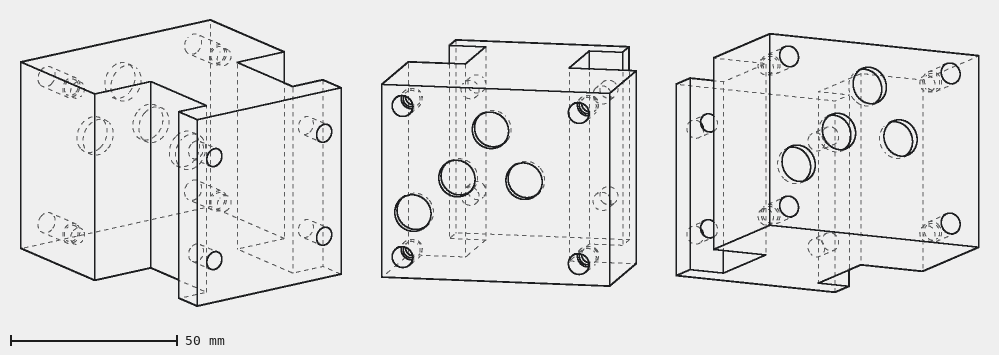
import cadquery as cq
import math

length = 76.2
body_width = 69.9
height = 58.75
body_length = 38.1

flange_thickness = 9.5
flange_start_x = length - flange_thickness
flange_right_y = 10.45
flange_width = 53.1
neck_right_y = 20.65
neck_width = 31.8

port_diameter = 11.1
port_depth = 3.1
drill_point_angle = 118.0

bolt_diameter = 6.3
bolt_depth = 12.7
pilot_diameter = 5.1
pilot_extra_depth = 3.2
bolt_spacing_y = 54.0
bolt_spacing_z = 46.0
bolt_right_y = 9.45
bolt_left_y = bolt_right_y + bolt_spacing_y
bolt_low_z = (height - bolt_spacing_z) / 2
bolt_top_z = bolt_low_z + bolt_spacing_z

port_offsets = {
    "pressure": (27.0, 6.3),
    "work_a": (16.7, 21.4),
    "work_b": (37.25, 21.4),
    "tank": (3.2, 32.45),
}

flange_hole_diameter = 5.6
flange_hole_spacing_y = 40.5
flange_hole_spacing_z = 32.45
flange_center_y = flange_right_y + flange_width / 2


def slab(start_x, end_x, right_y, width):
    """Full-height block between two X positions."""
    block = cq.Workplane("XY").box(end_x - start_x, width, height, centered=False)
    return block.translate((start_x, right_y, 0))


def bore(start_x, y, z, diameter, depth):
    """Straight cylinder running toward +X."""
    return cq.Workplane("YZ", origin=(start_x, y, z)).circle(diameter / 2).extrude(depth)


def drilled_hole(y, z, diameter, depth):
    """Blind hole from the X = 0 face, ending in a drill-point cone."""
    radius = diameter / 2
    tip_depth = depth + radius / math.tan(math.radians(drill_point_angle / 2))
    half_profile = [(0, 0), (0, radius), (depth, radius), (tip_depth, 0)]
    return (
        cq.Workplane("XY")
        .polyline(half_profile)
        .close()
        .revolve(360, (0, 0, 0), (1, 0, 0))
        .translate((0, y, z))
    )


result = slab(0, body_length, 0, body_width)
result = result.union(slab(body_length, flange_start_x, neck_right_y, neck_width))
result = result.union(slab(flange_start_x, length, flange_right_y, flange_width))

for offset_y, offset_z in port_offsets.values():
    y = bolt_left_y - offset_y
    z = bolt_top_z - offset_z
    result = result.cut(drilled_hole(y, z, port_diameter, port_depth))

for y in (bolt_right_y, bolt_left_y):
    for z in (bolt_low_z, bolt_top_z):
        result = result.cut(bore(0, y, z, bolt_diameter, bolt_depth))
        result = result.cut(drilled_hole(y, z, pilot_diameter, bolt_depth + pilot_extra_depth))

for side_y in (-1, 1):
    for side_z in (-1, 1):
        y = flange_center_y + side_y * flange_hole_spacing_y / 2
        z = height / 2 + side_z * flange_hole_spacing_z / 2
        result = result.cut(bore(flange_start_x, y, z, flange_hole_diameter, flange_thickness))